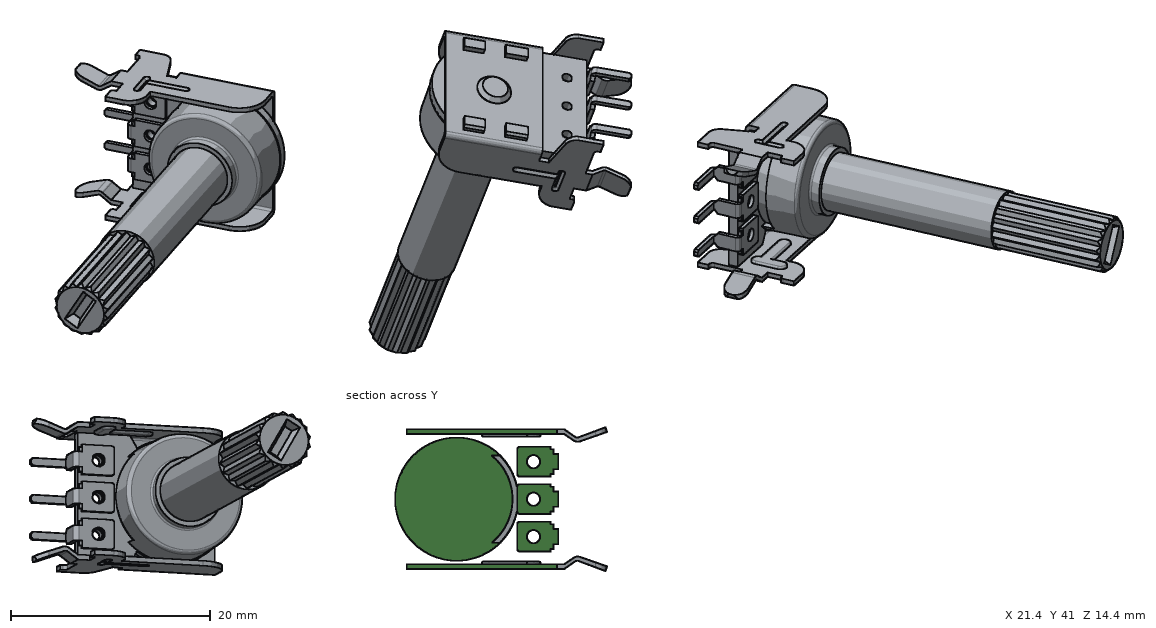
import cadquery as cq
import math


shaft_radius = 3.0
shaft_length = 31.0
knurl_length = 12.0
knurl_teeth = 18
knurl_tip_radius = 2.9
knurl_root_radius = 2.55
knurl_chamfer = knurl_tip_radius - knurl_root_radius
slot_length = 4.0
slot_width = 1.6
slot_floor_length = 3.1
slot_floor_width = 0.85
slot_depth = 1.0
slot_tilt = 60.0

collar_radius = 3.5
cup_front_y = 1.1
cup_front_radius = 6.1
cup_rear_radius = 6.2
cup_edge_fillet = 0.4
collar_root_fillet = 0.2
window_front_y = 4.6
window_half_height = 4.35
window_wall_radius = 5.6

board_front_y = 5.95
board_rear_y = 6.95
board_left_x = -9.73
board_shoulder_x = -4.25
board_radius = 6.3
board_neck_x = -3.5
board_neck_z = math.sqrt(board_radius**2 - board_neck_x**2)

bracket_half_height = 7.0
sheet = 0.5
bracket_inner_z = bracket_half_height - sheet
bracket_right_x = 5.0
bracket_left_x = -5.05
bracket_rear_y = board_rear_y + sheet
bend_inner_radius = 0.25
flange_left_x = -10.05
flange_top_left_x = -10.66
flange_top_y = 10.0
flange_lower_left_x = -9.5
flange_bottom_y = -0.48
flange_front_y = 2.25
flange_corner_radius = 2.8
flange_ear_x = -8.05
flange_neck_x = -6.3
flange_step_y = 8.8
flange_step_fillet = 0.35
foot_top_y = 1.1
foot_fillet = 0.3

tab_low_y = 2.74
tab_high_y = 5.28
tab_tip_x = -15.05
tab_tip_z = 6.72
tab_tip_corner = 1.2
tab_valley_x = -12.0
tab_valley_z = 5.65
tab_shoulder_x = -10.75
tab_rise = tab_tip_z - tab_valley_z
tab_thickness_z = 0.48
tab_bend_inner_radius = 0.3
tab_bend_outer_radius = 0.7

bead_depth = 0.27
bead_wall = 0.35
bead_edge_fillet = 0.2
groove_depth = 0.33
groove_chamfer = 0.3
bead_bar_x = -7.7
bead_bar_width = 0.7
bead_bar_low_y = 1.87
bead_bar_high_y = 5.05
bead_stem_end_x = -2.85
bead_stem_y = 4.07
bead_stem_width = 0.7

terminal_pitch = 3.75
terminal_sheet = 0.42
pad_front_y = board_front_y - terminal_sheet
pad_left_x = -9.4
pad_right_x = -6.05
pad_height = 3.0
pad_corner = 0.25
lip_left_x = -9.7
lip_height = 2.5
lip_setback = 0.06
leg_left_x = -10.25
leg_height = 1.55
leg_thickness = 0.45
pin_tip_x = -13.85
pin_height = 0.78
pin_low_y = 8.37
pin_high_y = 8.82
pin_tip_chamfer = 0.2
leg_taper_y = 7.95
leg_taper_end_y = 8.3
rivet_hole_x = -7.68
rivet_hole_radius = 0.5
rivet_sink_radius = 0.65

rear_tab_height_y = 0.6
rear_tab_spans = ((-3.35, -1.1), (1.1, 3.2))
rear_tab_low_z = 4.6
rear_tab_high_z = 5.95
rear_tab_chamfer = 0.25
hub_radius = 1.75
hub_height = 0.5
hub_chamfer = 0.45


def box(x_range, y_range, z_range):
    """Axis-aligned block given by its extents along each axis."""
    size = [high - low for low, high in (x_range, y_range, z_range)]
    corner = (x_range[0], y_range[0], z_range[0])
    return cq.Workplane("XY").box(*size, centered=False).translate(corner)


def cylinder_y(radius, y_low, y_high, x=0.0, z=0.0):
    """Cylinder along Y."""
    axis_start = cq.Vector(x, y_low, z)
    solid = cq.Solid.makeCylinder(radius, y_high - y_low, axis_start, cq.Vector(0, 1, 0))
    return cq.Workplane(obj=solid)


def polar(radius, angle):
    """Point at the given radius and angle around the origin."""
    return (radius * math.cos(angle), radius * math.sin(angle))


def make_shaft():
    """Smooth shaft ending in a chamfered V-toothed knurl with a driver slot."""
    knurl_start_y = knurl_length - shaft_length
    shaft = cylinder_y(shaft_radius, knurl_start_y, cup_front_y)
    half_tooth = math.pi / knurl_teeth
    outline = []
    for tooth in range(knurl_teeth):
        tip_angle = math.pi / 2 + 2 * half_tooth * tooth
        outline.append(polar(knurl_tip_radius, tip_angle))
        outline.append(polar(knurl_root_radius, tip_angle + half_tooth))
    knurl = (
        cq.Workplane("XZ", origin=(0, knurl_start_y, 0))
        .polyline(outline)
        .close()
        .extrude(knurl_length)
    )
    envelope = cylinder_y(knurl_tip_radius, -shaft_length, knurl_start_y)
    envelope = envelope.faces("<Y").chamfer(knurl_chamfer)
    return shaft.union(knurl.intersect(envelope)).cut(make_driver_slot())


def make_driver_slot():
    """Screwdriver slot whose walls all taper towards the floor."""
    return (
        cq.Workplane("XZ", origin=(0, slot_depth - shaft_length, 0))
        .transformed(rotate=(0, 0, slot_tilt))
        .rect(slot_floor_length, slot_floor_width)
        .workplane(offset=slot_depth)
        .rect(slot_length, slot_width)
        .loft(combine=True)
    )


def make_cup():
    """Slightly tapered housing with its front collar and a window for the terminals."""
    collar_arc_start = (collar_radius, cup_front_y - collar_root_fillet)
    arc_inset = collar_root_fillet * (1 - math.sqrt(0.5))
    collar_arc_middle = (collar_radius + arc_inset, cup_front_y - arc_inset)
    collar_arc_end = (collar_radius + collar_root_fillet, cup_front_y)
    cup = (
        cq.Workplane("XY")
        .lineTo(collar_radius, 0)
        .lineTo(*collar_arc_start)
        .threePointArc(collar_arc_middle, collar_arc_end)
        .lineTo(cup_front_radius, cup_front_y)
        .lineTo(cup_rear_radius, board_front_y)
        .lineTo(0, board_front_y)
        .close()
        .revolve(360, (0, 0, 0), (0, 1, 0))
    )
    cup = cup.edges(cq.selectors.RadiusNthSelector(-2)).fillet(cup_edge_fillet)
    window = box(
        (-board_radius, 0),
        (window_front_y, board_front_y),
        (-window_half_height, window_half_height),
    )
    window = window.cut(cylinder_y(window_wall_radius, window_front_y, board_front_y))
    return cup.cut(window)


def make_board():
    """Flat board: a wide terminal end running into a round end."""
    return (
        cq.Workplane("XZ", origin=(0, board_rear_y, 0))
        .moveTo(board_left_x, -bracket_inner_z)
        .lineTo(board_shoulder_x, -bracket_inner_z)
        .lineTo(board_neck_x, -board_neck_z)
        .threePointArc((board_radius, 0), (board_neck_x, board_neck_z))
        .lineTo(board_shoulder_x, bracket_inner_z)
        .lineTo(board_left_x, bracket_inner_z)
        .close()
        .extrude(board_rear_y - board_front_y)
    )


def make_rear_plate():
    """Plate behind the board, rounded where it bends into the flanges."""
    corner_depth = 2 * sheet
    plate = box(
        (bracket_left_x, bracket_right_x),
        (bracket_rear_y - corner_depth, bracket_rear_y),
        (-bracket_half_height, bracket_half_height),
    )
    inside = box(
        (bracket_left_x, bracket_right_x),
        (bracket_rear_y - corner_depth, board_rear_y),
        (-bracket_inner_z, bracket_inner_z),
    )
    plate = plate.edges(">Y and |X").fillet(sheet)
    return plate.cut(inside.edges(">Y and |X").fillet(bend_inner_radius))


def make_flange():
    """Upper bracket flange without its tab and bead."""
    diagonal = math.sqrt(0.5)
    corner_x = bracket_right_x - flange_corner_radius
    corner_y = flange_front_y + flange_corner_radius
    corner_middle = (
        corner_x + flange_corner_radius * diagonal,
        corner_y - flange_corner_radius * diagonal,
    )
    ear_top_end = (-6.9, 8.9)
    ear_top_middle = (-7.3, 9.65)
    ear_neck = (-6.05, board_front_y)
    foot_arc_start = (flange_neck_x, 1.2)
    foot_arc_middle = (-6.9, 0.05)
    flange = (
        cq.Workplane("XY", origin=(0, 0, bracket_inner_z))
        .moveTo(flange_top_left_x, flange_top_y)
        .lineTo(flange_ear_x, flange_top_y)
        .threePointArc(ear_top_middle, ear_top_end)
        .lineTo(*ear_neck)
        .lineTo(bracket_left_x, board_front_y)
        .lineTo(bracket_left_x, board_rear_y)
        .lineTo(bracket_right_x, board_rear_y)
        .lineTo(bracket_right_x, corner_y)
        .threePointArc(corner_middle, (corner_x, flange_front_y))
        .lineTo(flange_neck_x, flange_front_y)
        .lineTo(*foot_arc_start)
        .threePointArc(foot_arc_middle, (flange_ear_x, flange_bottom_y))
        .lineTo(flange_left_x, flange_bottom_y)
        .lineTo(flange_left_x, foot_top_y)
        .lineTo(flange_lower_left_x, foot_top_y)
        .lineTo(flange_lower_left_x, tab_low_y)
        .lineTo(flange_left_x, tab_low_y)
        .lineTo(flange_left_x, flange_step_y)
        .lineTo(flange_top_left_x, flange_step_y)
        .close()
        .extrude(sheet)
    )
    step_corner = (flange_left_x, flange_step_y, bracket_half_height)
    foot_corner = (flange_left_x, foot_top_y, bracket_half_height)
    for corner, radius in ((step_corner, flange_step_fillet), (foot_corner, foot_fillet)):
        flange = flange.edges("|Z").edges(cq.NearestToPointSelector(corner)).fillet(radius)
    return flange


def make_tab():
    """Snap tab dipping towards the middle and rising again at its round tip."""
    overlap_x = flange_lower_left_x
    tip_slant = tab_thickness_z * tab_rise / (tab_valley_x - tab_tip_x)
    strip = (
        cq.Workplane("XZ", origin=(0, tab_high_y, 0))
        .moveTo(overlap_x, bracket_half_height)
        .lineTo(tab_shoulder_x, bracket_half_height)
        .lineTo(tab_valley_x, tab_valley_z + tab_thickness_z)
        .lineTo(tab_tip_x + tip_slant, tab_tip_z + tab_thickness_z)
        .lineTo(tab_tip_x, tab_tip_z)
        .lineTo(tab_valley_x, tab_valley_z)
        .lineTo(tab_shoulder_x, bracket_inner_z)
        .lineTo(overlap_x, bracket_inner_z)
        .close()
        .extrude(tab_high_y - tab_low_y)
    )
    inner_bend = (tab_valley_x, tab_low_y, tab_valley_z + tab_thickness_z)
    outer_bend = (tab_valley_x, tab_low_y, tab_valley_z)
    for bend, radius in ((inner_bend, tab_bend_inner_radius), (outer_bend, tab_bend_outer_radius)):
        strip = strip.edges("|Y").edges(cq.NearestToPointSelector(bend)).fillet(radius)
    outline = box((tab_tip_x, overlap_x), (tab_low_y, tab_high_y), (0, 2 * bracket_half_height))
    return strip.intersect(outline.edges("<X and |Z").fillet(tab_tip_corner))


def make_bead(growth, z_low, z_high):
    """Round-ended bar and stem of the T, grown sideways by the given amount."""
    bar_width = bead_bar_width + 2 * growth
    stem_width = bead_stem_width + 2 * growth
    bar = box(
        (bead_bar_x - bar_width / 2, bead_bar_x + bar_width / 2),
        (bead_bar_low_y - growth, bead_bar_high_y + growth),
        (z_low, z_high),
    )
    stem = box(
        (bead_bar_x - stem_width / 2, bead_stem_end_x + growth),
        (bead_stem_y - stem_width / 2, bead_stem_y + stem_width / 2),
        (z_low, z_high),
    )
    round_share = 0.49
    bar = bar.edges("|Z").fillet(round_share * bar_width)
    stem = stem.edges("|Z").fillet(round_share * stem_width)
    return bar, stem


def make_side():
    """Complete upper side of the bracket."""
    side = make_flange().union(make_tab())
    bar, stem = make_bead(bead_wall, bracket_inner_z - bead_depth, bracket_inner_z)
    side = side.union(bar.union(stem).faces("<Z").edges().fillet(bead_edge_fillet))
    for groove in make_bead(0, bracket_half_height - groove_depth, bracket_half_height):
        side = side.cut(groove.faces("<Z").edges().chamfer(groove_chamfer))
    return side


def make_terminal(z):
    """Pad on the board, a leg around the board edge and a solder pin."""
    pad = box(
        (pad_left_x, pad_right_x),
        (pad_front_y, board_front_y),
        (-pad_height / 2, pad_height / 2),
    )
    pad = pad.edges(">X and |Y").fillet(pad_corner)
    lip = box(
        (lip_left_x, pad_left_x),
        (pad_front_y + lip_setback, board_front_y),
        (-lip_height / 2, lip_height / 2),
    )
    strip = (
        cq.Workplane("XY", origin=(0, 0, -leg_height / 2))
        .moveTo(pad_left_x, pad_front_y)
        .lineTo(leg_left_x, pad_front_y)
        .lineTo(leg_left_x, pin_low_y)
        .lineTo(pin_tip_x, pin_low_y)
        .lineTo(pin_tip_x, pin_high_y)
        .lineTo(leg_left_x + leg_thickness, pin_high_y)
        .lineTo(leg_left_x + leg_thickness, board_front_y)
        .lineTo(pad_left_x, board_front_y)
        .close()
        .extrude(leg_height)
    )
    front_bend = (leg_left_x, pad_front_y, 0)
    rear_bend = (leg_left_x + leg_thickness, pin_high_y, 0)
    for bend in (front_bend, rear_bend):
        strip = strip.edges("|Z").edges(cq.NearestToPointSelector(bend)).fillet(leg_thickness)
    width_profile = (
        cq.Workplane("YZ", origin=(pin_tip_x, 0, 0))
        .moveTo(pad_front_y, leg_height / 2)
        .lineTo(leg_taper_y, leg_height / 2)
        .lineTo(leg_taper_end_y, pin_height / 2)
        .lineTo(pin_high_y, pin_height / 2)
        .lineTo(pin_high_y, -pin_height / 2)
        .lineTo(leg_taper_end_y, -pin_height / 2)
        .lineTo(leg_taper_y, -leg_height / 2)
        .lineTo(pad_front_y, -leg_height / 2)
        .close()
        .extrude(pad_left_x - pin_tip_x)
    )
    strip = strip.intersect(width_profile)
    strip = strip.faces("<X").edges("|Y").chamfer(pin_tip_chamfer)
    return pad.union(lip).union(strip).translate((0, 0, z))


def make_rivet_hole(z):
    """Through hole with a wider mouth in the pad."""
    hole = cylinder_y(rivet_hole_radius, pad_front_y, board_rear_y, rivet_hole_x, z)
    mouth = cylinder_y(rivet_sink_radius, pad_front_y, board_front_y, rivet_hole_x, z)
    return hole.union(mouth)


def make_rear_details():
    """Chamfered hub and four low tabs standing on the rear plate."""
    details = cylinder_y(hub_radius, bracket_rear_y, bracket_rear_y + hub_height)
    details = details.faces(">Y").chamfer(hub_chamfer)
    y_range = (bracket_rear_y, bracket_rear_y + rear_tab_height_y)
    for x_range in rear_tab_spans:
        upper = box(x_range, y_range, (rear_tab_low_z, rear_tab_high_z))
        upper = upper.edges(">Y and >Z").chamfer(rear_tab_chamfer)
        details = details.union(upper).union(upper.mirror("XY"))
    return details


upper_side = make_side()
part = make_board().union(make_cup()).union(make_shaft())
part = part.union(make_rear_plate()).union(make_rear_details())
part = part.union(upper_side).union(upper_side.mirror("XY"))
for terminal_z in (-terminal_pitch, 0, terminal_pitch):
    part = part.union(make_terminal(terminal_z)).cut(make_rivet_hole(terminal_z))

result = part